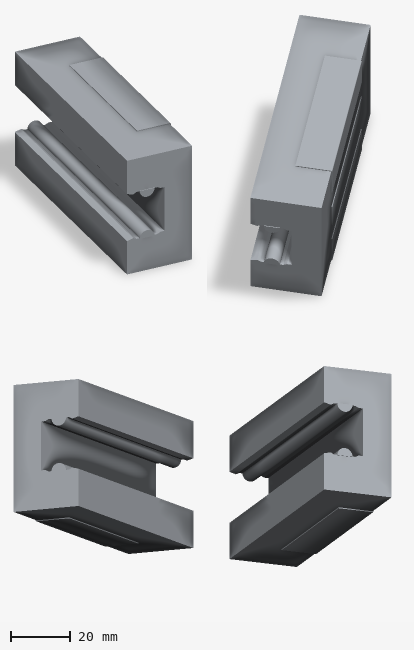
import cadquery as cq

total_length = 86.0
total_depth = 24.7
total_height = 44.0

plate_thickness = 0.35
plate_length = 51.6
wrap_depth = 12.6
wrap_height = 10.6
back_strip_height = 8.8

rail_overhang = 0.3
body_length = total_length - rail_overhang
body_depth = total_depth - plate_thickness
body_height = total_height - 2 * plate_thickness

slot_depth = 14.0
slot_half_height = 8.3
groove_depth = 0.6
groove_half_bottom = 3.9
groove_half_top = 5.1

rail_radius = 2.75
rail_from_front = 7.4
rail_centre_z = 9.1

left_x = -total_length / 2
front_y = -total_depth / 2
back_y = total_depth / 2
rail_y = front_y + rail_from_front
slot_floor_y = front_y + slot_depth
groove_z = slot_half_height + groove_depth
plate_left_x = left_x + (body_length - plate_length) / 2


def mirrored_pair(upper):
    """Return the upper shape together with its copy below the XY plane."""
    return upper.union(upper.mirror("XY"))


def make_body():
    block = cq.Workplane("XY").box(body_length, body_depth, body_height).translate(
        (left_x + body_length / 2, front_y + body_depth / 2, 0)
    )
    upper_slot = (
        cq.Workplane("YZ", origin=(left_x, 0, 0))
        .moveTo(front_y, 0)
        .lineTo(front_y, groove_z)
        .lineTo(rail_y - groove_half_top, slot_half_height)
        .lineTo(rail_y - groove_half_bottom, groove_z)
        .lineTo(rail_y + groove_half_bottom, groove_z)
        .lineTo(rail_y + groove_half_top, slot_half_height)
        .lineTo(slot_floor_y, slot_half_height)
        .lineTo(slot_floor_y, 0)
        .close()
        .extrude(body_length)
    )
    return block.cut(mirrored_pair(upper_slot))


def make_rails():
    upper_rail = (
        cq.Workplane("YZ", origin=(left_x, 0, 0))
        .moveTo(rail_y - rail_radius, rail_centre_z)
        .threePointArc((rail_y, rail_centre_z - rail_radius), (rail_y + rail_radius, rail_centre_z))
        .close()
        .extrude(total_length)
    )
    return mirrored_pair(upper_rail)


def make_plate(depth, height, back_top_z):
    """Block of plate length whose upper back edge lies on the back plane."""
    return cq.Workplane("XY").box(plate_length, depth, height, centered=False).translate(
        (plate_left_x, back_y - depth, back_top_z - height)
    )


def make_wraps():
    """L-shaped plates around the back corners, rounded along the bend."""
    top_z = total_height / 2
    corner = make_plate(wrap_depth, plate_thickness, top_z).union(
        make_plate(plate_thickness, wrap_height, top_z)
    )
    bend = cq.selectors.NearestToPointSelector((plate_left_x + plate_length / 2, back_y, top_z))
    return mirrored_pair(corner.edges(bend).fillet(plate_thickness))


back_strip = make_plate(plate_thickness, back_strip_height, back_strip_height / 2)
result = make_body().union(make_rails()).union(make_wraps()).union(back_strip)